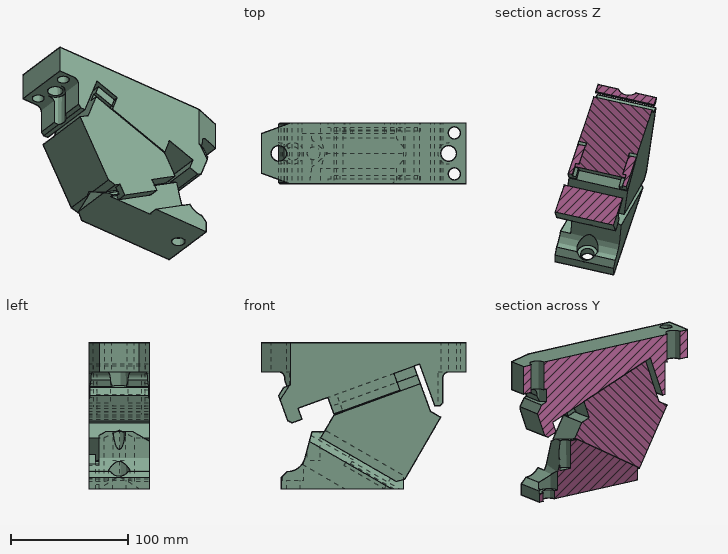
import cadquery as cq
import math

LENGTH = 175.0
WIDTH = 52.0
HEIGHT = 125.0
HALF_WIDTH = WIDTH / 2
BEYOND = 175.0

SLOT_ANGLE = math.radians(20)
GUIDE_ANGLE = math.radians(30)
SLOT_ORIGIN = (31.5, 0, 69.0)
GUIDE_ORIGIN = (50.8, 0, 43.8)
SLOT_FRAME = cq.Plane(SLOT_ORIGIN, (math.cos(SLOT_ANGLE), 0, math.sin(SLOT_ANGLE)), (0, -1, 0))
GUIDE_FRAME = cq.Plane(GUIDE_ORIGIN, (math.cos(GUIDE_ANGLE), 0, -math.sin(GUIDE_ANGLE)), (0, -1, 0))

PLATE_BOTTOM = HEIGHT - 25.0
NOSE_HALF_WIDTH = 17.0
NOSE_LENGTH = 24.8
NECK_X = 20.0
FILLET = 5.0
LEG_RIGHT = 155.0
LEG_BOTTOM = 71.0
LEG_CHAMFER = 2.6

HOOK_LEFT = -12.0
HOOK_TIP = -10.0
HOOK_TIP_CHAMFER = 3.0
HOOK_SHOULDER = 16.0
HOOK_TOP = 21.0
HOOK_FLAT_LEFT = -5.5
NECK_FOOT = -2.6
HOOK_EDGE_INWARD = 3.2
HOOK_EDGE_SIDE = 1.0
LIP_LEFT = 27.0
LIP_RIGHT = 87.0
LIP_DEPTH = 15.0
SLOT_END = 110.2
SLOT_NECK_HALF_WIDTH = 19.0
SLOT_HEAD_HALF_WIDTH = 22.0
SLOT_HEAD_DEPTH = 8.0

SCREW_HOLE_RADIUS = 6.56
SCREW_CLEARANCE_RADIUS = 9.1
SCREW_HOLE_FROM_END = 15.0
DOWEL_RADIUS = 5.0
DOWEL_FROM_END = 10.2
DOWEL_Y = 17.5

SLIDE_LENGTH = 80.0
SLIDE_STEP_HEIGHT = 66.5
SLIDE_BLANK_HEIGHT = 105.0
SLIDE_CORNER = 5.5
SLIDE_TOP_DEPTH = 16.0
SLIDE_END = 105.4
TONGUE_START = 35.0

KEEPER_START = 28.9
KEEPER_LENGTH = 39.9
KEEPER_DEPTH = 10.5

BASE_LEFT = 17.0
BASE_RIGHT = 121.6
BASE_TOP = 49.0
TOE_TOP = 15.0
TOE_CHAMFER = 5.0
BASE_FILLET = 15.0
FRONT_ANGLE = math.radians(15)
FRONT_TOP_X = 43.2
RIDGE_HEIGHT = 7.5
ROOF_ANGLE = math.radians(30)
SIDE_WALL_Y = 17.2
LEDGE_DEPTH = 27.5
RAIL_Y = 20.1
RAIL_DEPTH = 6.5
RAIL_START = KEEPER_START + 4.4
BOLT_X = 27.1
BOLT_HEAD_RADIUS = 9.1
BOLT_HOLE_RADIUS = 5.8
BOLT_SEAT_Z = 7.5
PIN_HOLE_X = 44.6
PIN_HOLE_RADIUS = 5.5
PIN_HOLE_BOTTOM = 24.5


def global_xz(frame, along, up):
    """Global X and Z of a point given in a tilted frame."""
    point = frame.toWorldCoords((along, up, 0))
    return point.x, point.z


def block(frame, along, up, across):
    """Box between pairs of limits along the frame, up the frame and across the part in Y."""
    return (
        cq.Workplane(frame)
        .workplane(offset=-across[1])
        .moveTo(along[0], up[0])
        .lineTo(along[1], up[0])
        .lineTo(along[1], up[1])
        .lineTo(along[0], up[1])
        .close()
        .extrude(across[1] - across[0])
    )


def bore(x, y, radius, bottom, top):
    """Vertical cylinder used for holes."""
    return cq.Workplane("XY", origin=(x, y, bottom)).circle(radius).extrude(top - bottom)


def t_section(start, end, bottom):
    """T-shaped bar along the slot, from a bottom level up to the slot ceiling."""
    neck = block(SLOT_FRAME, (start, end), (bottom, 0), (-SLOT_NECK_HALF_WIDTH, SLOT_NECK_HALF_WIDTH))
    head = block(
        SLOT_FRAME, (start, end), (-SLOT_HEAD_DEPTH, 0), (-SLOT_HEAD_HALF_WIDTH, SLOT_HEAD_HALF_WIDTH)
    )
    return neck.union(head)


def housing_body():
    """Side outline of the plate, leg, slot lip, hook and neck, extruded over the width."""
    diagonal = FILLET * (1 - math.sqrt(0.5))
    slot_end_x, slot_end_z = global_xz(SLOT_FRAME, SLOT_END, 0)
    leg_left = slot_end_x + (slot_end_z - LEG_BOTTOM) * math.tan(SLOT_ANGLE)
    neck_foot = global_xz(SLOT_FRAME, NECK_FOOT, HOOK_TOP)
    neck_bend = (NECK_X, neck_foot[1] + (neck_foot[0] - NECK_X) / math.tan(SLOT_ANGLE))
    slot_and_hook = [
        (SLOT_END, 0),
        (LIP_RIGHT, 0),
        (LIP_RIGHT, -LIP_DEPTH),
        (LIP_LEFT, -LIP_DEPTH),
        (LIP_LEFT, 0),
        (0, 0),
        (0, HOOK_TIP),
        (HOOK_LEFT + HOOK_TIP_CHAMFER, HOOK_TIP),
        (HOOK_LEFT, HOOK_TIP + HOOK_TIP_CHAMFER),
        (HOOK_LEFT, HOOK_SHOULDER),
        (HOOK_FLAT_LEFT, HOOK_TOP),
    ]
    outline = (
        cq.Workplane("XZ")
        .moveTo(0, HEIGHT)
        .lineTo(LENGTH, HEIGHT)
        .lineTo(LENGTH, PLATE_BOTTOM)
        .lineTo(LEG_RIGHT + FILLET, PLATE_BOTTOM)
        .threePointArc(
            (LEG_RIGHT + diagonal, PLATE_BOTTOM - diagonal), (LEG_RIGHT, PLATE_BOTTOM - FILLET)
        )
        .lineTo(LEG_RIGHT, LEG_BOTTOM + LEG_CHAMFER)
        .lineTo(LEG_RIGHT - LEG_CHAMFER, LEG_BOTTOM)
        .lineTo(leg_left, LEG_BOTTOM)
    )
    for along, up in slot_and_hook:
        outline = outline.lineTo(*global_xz(SLOT_FRAME, along, up))
    outline = (
        outline.lineTo(*neck_foot)
        .lineTo(*neck_bend)
        .lineTo(NECK_X, PLATE_BOTTOM - FILLET)
        .threePointArc(
            (NECK_X - diagonal, PLATE_BOTTOM - diagonal), (NECK_X - FILLET, PLATE_BOTTOM)
        )
        .lineTo(0, PLATE_BOTTOM)
        .close()
    )
    return outline.extrude(HALF_WIDTH, both=True)


def nose_cuts():
    """Two vertical wedges that taper the left end of the plate and the neck."""
    wedges = cq.Workplane("XY")
    for side in (-1, 1):
        wedge = (
            cq.Workplane("XY")
            .moveTo(0, side * NOSE_HALF_WIDTH)
            .lineTo(NOSE_LENGTH, side * HALF_WIDTH)
            .lineTo(0, side * HALF_WIDTH)
            .close()
            .extrude(HEIGHT)
        )
        wedges = wedges.add(wedge)
    return wedges.combine()


def hook_edge_cuts():
    """Two wedges that bevel the ends of the sloping face on top of the hook."""
    shoulder_x, shoulder_z = global_xz(SLOT_FRAME, HOOK_LEFT, HOOK_SHOULDER)
    flat_x, flat_z = global_xz(SLOT_FRAME, HOOK_FLAT_LEFT, HOOK_TOP)
    rise = (flat_x - shoulder_x, 0, flat_z - shoulder_z)
    inward = (rise[2], 0, -rise[0])
    frame = cq.Plane((shoulder_x, 0, shoulder_z), inward, rise)
    wedges = cq.Workplane("XY")
    for side in (-1, 1):
        wedge = (
            cq.Workplane(frame)
            .moveTo(0, side * HALF_WIDTH)
            .lineTo(HOOK_EDGE_INWARD, side * HALF_WIDTH)
            .lineTo(0, side * (HALF_WIDTH - HOOK_EDGE_SIDE))
            .close()
            .extrude(WIDTH / 2, both=True)
        )
        wedges = wedges.add(wedge)
    return wedges.combine()


def make_housing():
    everywhere = (-BEYOND, BEYOND)
    above_hook = block(SLOT_FRAME, everywhere, (HOOK_TOP, BEYOND), everywhere)
    screw_left = SCREW_HOLE_FROM_END
    screw_right = LENGTH - SCREW_HOLE_FROM_END
    left_clearance = bore(screw_left, 0, SCREW_CLEARANCE_RADIUS, 0, PLATE_BOTTOM)

    housing = housing_body()
    housing = housing.cut(nose_cuts().intersect(above_hook))
    housing = housing.cut(hook_edge_cuts().cut(above_hook))
    housing = housing.cut(t_section(0, SLOT_END, -LIP_DEPTH))
    housing = housing.cut(left_clearance.intersect(above_hook))
    housing = housing.cut(bore(screw_right, 0, SCREW_CLEARANCE_RADIUS, 0, PLATE_BOTTOM))
    for x in (screw_left, screw_right):
        housing = housing.cut(bore(x, 0, SCREW_HOLE_RADIUS, PLATE_BOTTOM, HEIGHT))
    for y in (-DOWEL_Y, DOWEL_Y):
        housing = housing.cut(bore(LENGTH - DOWEL_FROM_END, y, DOWEL_RADIUS, 0, HEIGHT))
    return housing


def roof_prism():
    """Everything below the gable roof that guides the slide, along the whole guide."""
    eaves = RIDGE_HEIGHT - HALF_WIDTH * math.tan(ROOF_ANGLE)
    section = cq.Plane(GUIDE_ORIGIN, (0, 1, 0), GUIDE_FRAME.xDir)
    return (
        cq.Workplane(section)
        .moveTo(0, RIDGE_HEIGHT)
        .lineTo(HALF_WIDTH, eaves)
        .lineTo(HALF_WIDTH, -BEYOND)
        .lineTo(-HALF_WIDTH, -BEYOND)
        .lineTo(-HALF_WIDTH, eaves)
        .close()
        .extrude(BEYOND, both=True)
    )


def base_body():
    """Side outline with the toe, concave fillet and leaning front face, extruded over the width."""
    turn = math.pi / 2 - FRONT_ANGLE
    fillet_z = TOE_TOP + BASE_FILLET
    fillet_end_z = fillet_z - BASE_FILLET * math.cos(turn)
    fillet_end_x = FRONT_TOP_X - (BASE_TOP - fillet_end_z) * math.tan(FRONT_ANGLE)
    fillet_x = fillet_end_x - BASE_FILLET * math.sin(turn)
    fillet_middle = (
        fillet_x + BASE_FILLET * math.sin(turn / 2),
        fillet_z - BASE_FILLET * math.cos(turn / 2),
    )
    return (
        cq.Workplane("XZ")
        .moveTo(BASE_LEFT, 0)
        .lineTo(BASE_LEFT, TOE_TOP - TOE_CHAMFER)
        .lineTo(BASE_LEFT + TOE_CHAMFER, TOE_TOP)
        .lineTo(fillet_x, TOE_TOP)
        .threePointArc(fillet_middle, (fillet_end_x, fillet_end_z))
        .lineTo(FRONT_TOP_X, BASE_TOP)
        .lineTo(BASE_RIGHT, BASE_TOP)
        .lineTo(BASE_RIGHT, 0)
        .close()
        .extrude(HALF_WIDTH, both=True)
    )


def side_recess():
    """Space cut from the +Y side of the base above its ledge, leaving the rail for the keeper."""
    recess = block(GUIDE_FRAME, (-BEYOND, BEYOND), (-LEDGE_DEPTH, BEYOND), (SIDE_WALL_Y, WIDTH))
    rail = block(GUIDE_FRAME, (RAIL_START, BEYOND), (-RAIL_DEPTH, BEYOND), (SIDE_WALL_Y, RAIL_Y))
    return recess.cut(rail)


def make_base():
    base = base_body().intersect(roof_prism()).cut(side_recess())
    base = base.cut(bore(BOLT_X, 0, BOLT_HOLE_RADIUS, 0, BOLT_SEAT_Z))
    base = base.cut(bore(BOLT_X, 0, BOLT_HEAD_RADIUS, BOLT_SEAT_Z, BASE_TOP))
    return base.cut(bore(PIN_HOLE_X, 0, PIN_HOLE_RADIUS, PIN_HOLE_BOTTOM, BASE_TOP))


def keeper():
    """Arm below the +Y side of the slide, with a groove for the base rail."""
    keeper_end = KEEPER_START + KEEPER_LENGTH
    reach = (KEEPER_START, keeper_end)
    arm = block(GUIDE_FRAME, reach, (-KEEPER_DEPTH, 0), (SIDE_WALL_Y, HALF_WIDTH))
    groove = block(GUIDE_FRAME, reach, (-RAIL_DEPTH, 0), (SIDE_WALL_Y, RAIL_Y))
    return arm.cut(groove)


def slide_block():
    """Slide outline over the full width, without its guide groove, tongue and keeper."""
    everywhere = (-BEYOND, BEYOND)
    outline = (
        cq.Workplane(GUIDE_FRAME)
        .moveTo(0, 0)
        .lineTo(SLIDE_LENGTH - SLIDE_CORNER, 0)
        .lineTo(SLIDE_LENGTH, SLIDE_CORNER)
        .lineTo(SLIDE_LENGTH, SLIDE_BLANK_HEIGHT)
        .lineTo(0, SLIDE_BLANK_HEIGHT)
        .close()
        .extrude(HALF_WIDTH, both=True)
    )
    above_top = block(SLOT_FRAME, everywhere, (-SLIDE_TOP_DEPTH, BEYOND), everywhere)
    past_end = block(SLOT_FRAME, (SLIDE_END, BEYOND), everywhere, everywhere)
    above_step = block(GUIDE_FRAME, everywhere, (SLIDE_STEP_HEIGHT, BEYOND), everywhere)
    return outline.cut(above_top).cut(past_end.intersect(above_step))


def make_slide():
    slide = slide_block().cut(roof_prism())
    slide = slide.union(t_section(TONGUE_START, SLIDE_END, -SLIDE_TOP_DEPTH))
    return slide.union(keeper())


housing = make_housing()
slide = make_slide()
base = make_base()

result = cq.Compound.makeCompound([housing.val(), slide.val(), base.val()])